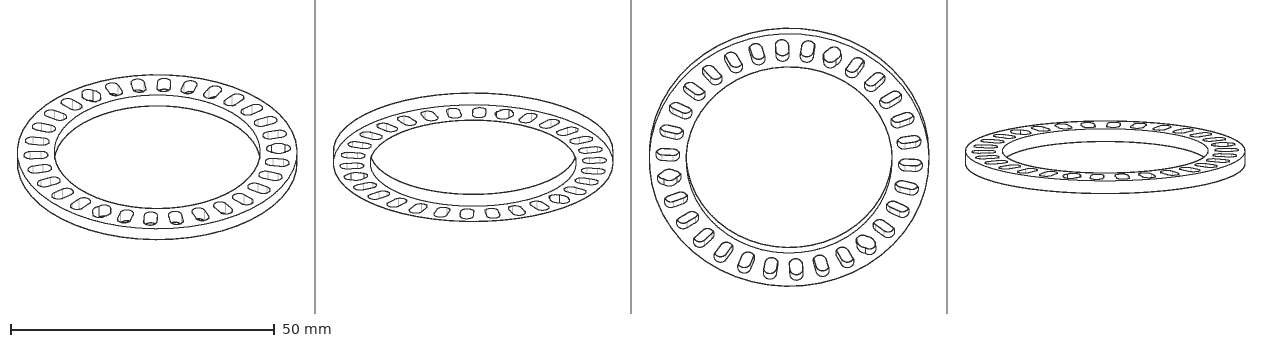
import cadquery as cq

outer_diameter = 53.0
inner_diameter = 39.0
thickness = 2.5
mid_diameter = (outer_diameter + inner_diameter) / 2

slot_count = 30
slot_length = 4.5
slot_width = 2.5
first_slot_angle = 90.0

hole_count = 3
hole_diameter = 3.5
first_hole_angle = 270.0


def make_ring():
    return (
        cq.Workplane("XY")
        .circle(outer_diameter / 2)
        .circle(inner_diameter / 2)
        .extrude(thickness)
    )


def cut_slots(body):
    """Cut the full circle of slots, each with its long axis radial."""
    return (
        body.faces(">Z")
        .workplane(origin=(0, 0, thickness))
        .polarArray(mid_diameter / 2, first_slot_angle, 360, slot_count)
        .slot2D(slot_length, slot_width)
        .cutThruAll()
    )


def cut_round_holes(body):
    """Cut the round holes on the mid circle, centred on their slots."""
    holes = (
        cq.Workplane("XY")
        .polarArray(mid_diameter / 2, first_hole_angle, 360, hole_count)
        .circle(hole_diameter / 2)
        .extrude(thickness)
    )
    return body.cut(holes)


result = cut_round_holes(cut_slots(make_ring()))